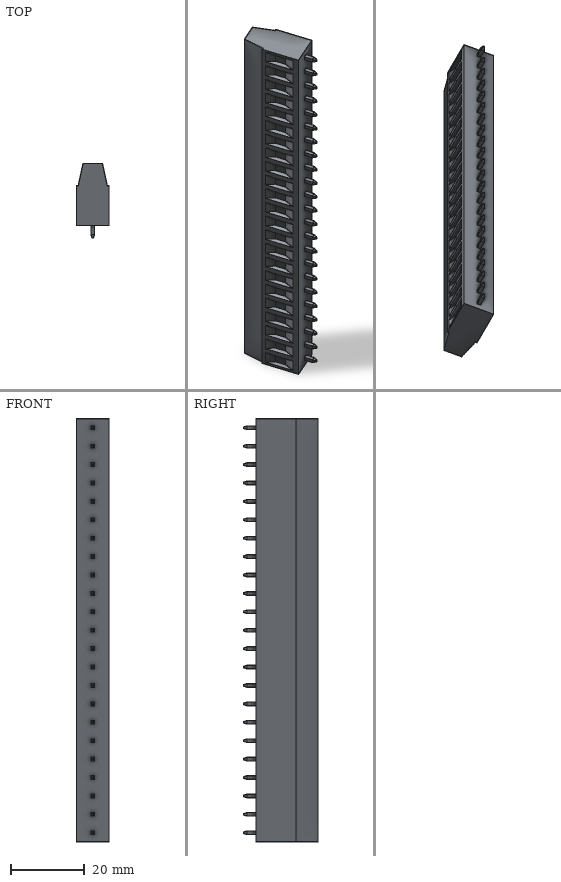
import cadquery as cq

positions = 23
length = 115.0
width = 8.9
total_depth = 20.4
pin_length = 3.5

back_width = 5.3
shoulder_step = 0.5
slope_depth = 6.1

entry_length = 8.3
entry_height = 3.5
entry_margin = 1.6
floor_length = 3.0
floor_height = 2.8
entry_depth = 0.98

pin_size = 1.0
tip_size = 0.3
tip_length = 1.0

pitch = length / positions
body_depth = total_depth - pin_length
shoulder_y = body_depth - slope_depth
entry_y = entry_margin + entry_length / 2
side_x = -width / 2


def position_z(index):
    return (index + 0.5) * pitch


def housing():
    """Straight-sided block with a tapered back, extruded along Z."""
    half = width / 2
    neck = half - shoulder_step
    outline = [
        (-half, 0),
        (half, 0),
        (half, shoulder_y),
        (neck, shoulder_y),
        (back_width / 2, body_depth),
        (-back_width / 2, body_depth),
        (-neck, shoulder_y),
        (-half, shoulder_y),
    ]
    return cq.Workplane("XY").polyline(outline).close().extrude(length)


def wire_entry(z):
    """Funnel narrowing from the side face to a small flat floor."""
    return (
        cq.Workplane("YZ", origin=(side_x, entry_y, z))
        .rect(entry_length, entry_height)
        .workplane(offset=entry_depth)
        .rect(floor_length, floor_height)
        .loft(ruled=True)
    )


def pin(z):
    """Square pin with a tapered tip, pointing towards -Y."""
    shank_length = pin_length - tip_length
    shank = (
        cq.Workplane("XZ", origin=(0, 0, z))
        .rect(pin_size, pin_size)
        .extrude(shank_length)
    )
    tip = (
        cq.Workplane("XZ", origin=(0, -shank_length, z))
        .rect(pin_size, pin_size)
        .workplane(offset=tip_length)
        .rect(tip_size, tip_size)
        .loft(ruled=True)
    )
    return shank.union(tip)


result = housing()
for index in range(positions):
    z = position_z(index)
    result = result.cut(wire_entry(z)).union(pin(z))